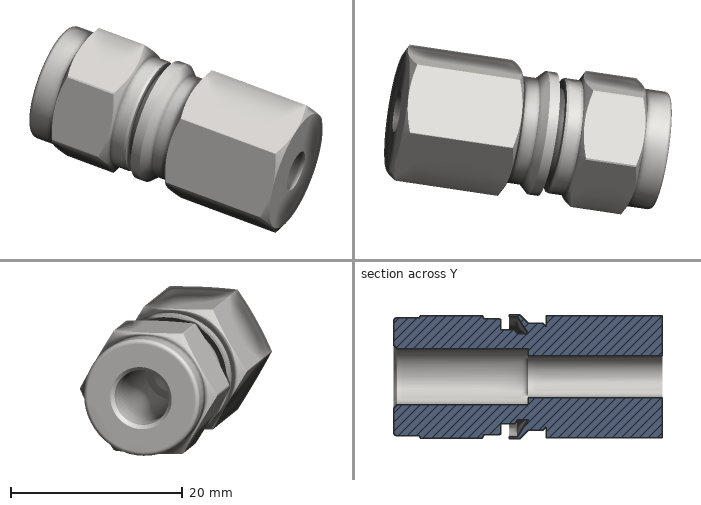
import cadquery as cq
import math

NOSE_END = 3.02
NUT_END = 10.6
SKIRT_END = 12.58
COLLAR_START = 13.52
COLLAR_END = 14.7
CONE_END = 15.75
BODY_START = 17.8
LENGTH = 31.45

NOSE_D = 13.9
SKIRT_D = 13.6
NECK_D = 11.1
RELIEF_D = 10.1
COLLAR_D = 14.6
SHOULDER_D = 12.6

DISH_MOUTH_D = 14.02
DISH_STRAIGHT = 0.95
DISH_END = 15.72

RELIEF_TAPER_START = 14.15
RELIEF_TAPER_END = 14.53

ACROSS_FLATS = 14.3
ACROSS_CORNERS = 16.47
NUT_ACROSS_FLATS = 14.37
BODY_BEVEL_D = 14.1
BODY_END_BEVEL_D = 14.2
BEVEL_SLOPE = math.tan(math.radians(30))

NOSE_ROUND = 0.5
SKIRT_CHAMFER_LENGTH = 0.28
SKIRT_CHAMFER_DEPTH = 0.1
SHOULDER_CHAMFER = 0.35

TUBE_BORE_D = 6.55
TUBE_BORE_DEPTH = 15.72
BORE_MOUTH_D = 7.4
THROUGH_BORE_D = 4.8


def cylinder(start, end, diameter):
    """Round length of the fitting between two axial stations."""
    return cq.Workplane("YZ", origin=(start, 0, 0)).circle(diameter / 2).extrude(end - start)


def revolved(points):
    """Solid of revolution about X from (station, radius) points."""
    return cq.Workplane("XY").polyline(points).close().revolve(360, (0, 0, 0), (1, 0, 0))


def bevelled_hexagon(start, end, across_flats, start_bevel_d, end_bevel_d):
    """Hexagon with corners along Y, conical end bevels and corners trimmed round."""
    corner_r = ACROSS_CORNERS / 2
    start_bevel = (corner_r - start_bevel_d / 2) * BEVEL_SLOPE
    end_bevel = (corner_r - end_bevel_d / 2) * BEVEL_SLOPE
    envelope = revolved([
        (start, 0),
        (start, start_bevel_d / 2),
        (start + start_bevel, corner_r),
        (end - end_bevel, corner_r),
        (end, end_bevel_d / 2),
        (end, 0),
    ])
    sharp_corner_d = across_flats / math.cos(math.radians(30))
    hexagon = cq.Workplane("YZ", origin=(start, 0, 0)).polygon(6, sharp_corner_d).extrude(end - start)
    return hexagon.intersect(envelope)


def compression_nut():
    """Hexagonal nut with a rounded nose and a short chamfered skirt."""
    nose = cylinder(0, NOSE_END, NOSE_D).faces("<X").edges().fillet(NOSE_ROUND)
    hexagon = bevelled_hexagon(NOSE_END, NUT_END, NUT_ACROSS_FLATS, NOSE_D, SKIRT_D)
    skirt = revolved([
        (NUT_END, 0),
        (NUT_END, SKIRT_D / 2),
        (SKIRT_END - SKIRT_CHAMFER_LENGTH, SKIRT_D / 2),
        (SKIRT_END, SKIRT_D / 2 - SKIRT_CHAMFER_DEPTH),
        (SKIRT_END, 0),
    ])
    return nose.union(hexagon).union(skirt)


def body():
    """Neck, dished collar with a conical back, shoulder and hexagonal female end."""
    turned = revolved([
        (SKIRT_END, 0),
        (SKIRT_END, NECK_D / 2),
        (RELIEF_TAPER_START, NECK_D / 2),
        (RELIEF_TAPER_END, RELIEF_D / 2),
        (DISH_END, RELIEF_D / 2),
        (COLLAR_START + DISH_STRAIGHT, DISH_MOUTH_D / 2),
        (COLLAR_START, DISH_MOUTH_D / 2),
        (COLLAR_START, COLLAR_D / 2),
        (COLLAR_END, COLLAR_D / 2),
        (CONE_END, SHOULDER_D / 2),
        (BODY_START - SHOULDER_CHAMFER, SHOULDER_D / 2),
        (BODY_START, SHOULDER_D / 2 - SHOULDER_CHAMFER),
        (BODY_START, 0),
    ])
    hexagon = bevelled_hexagon(BODY_START, LENGTH, ACROSS_FLATS, BODY_BEVEL_D, BODY_END_BEVEL_D)
    return turned.union(hexagon)


def bore():
    """Chamfered tube socket stepping down to the through bore."""
    mouth_depth = (BORE_MOUTH_D - TUBE_BORE_D) / 2
    return revolved([
        (0, 0),
        (0, BORE_MOUTH_D / 2),
        (mouth_depth, TUBE_BORE_D / 2),
        (TUBE_BORE_DEPTH, TUBE_BORE_D / 2),
        (TUBE_BORE_DEPTH, THROUGH_BORE_D / 2),
        (LENGTH, THROUGH_BORE_D / 2),
        (LENGTH, 0),
    ])


result = compression_nut().union(body()).cut(bore())